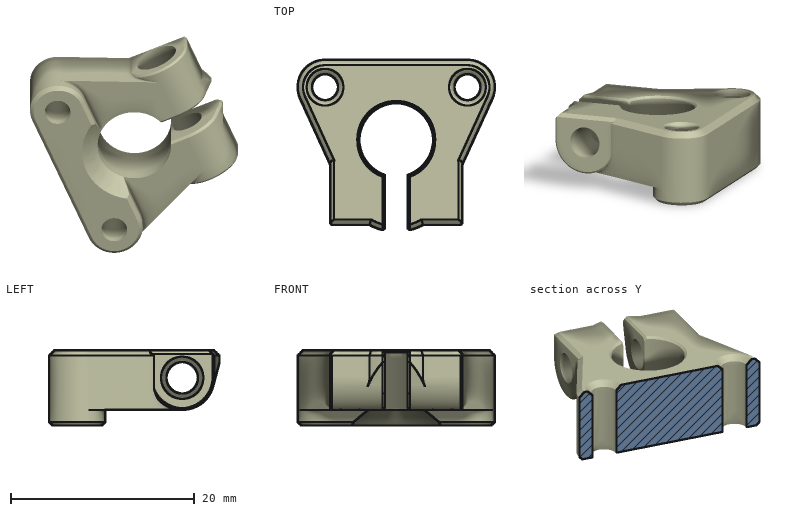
import cadquery as cq
import math

height = 8.2
step_height = 1.7
top_chamfer = 0.6
bottom_chamfer = 0.4

screw_x = 7.75
screw_y = 5.75
corner_radius = 3.0
front_y = -4.0
front_radius = 6.0

rail_front_y = 2.6
rail_fillet = 3.0

lug_half_width = 7.2
lug_radius = 3.5
lug_y = -5.75
lug_z = step_height + lug_radius
lug_end_chamfer = 0.2
lug_top_chamfer = 0.4
overhang_angle = 15

bore_radius = 4.0
slot_width = 2.5
edge_break = 0.25
screw_diameter = 2.8
countersink_diameter = 4.0
countersink_angle = 90
bolt_diameter = 3.4
insert_diameter = 4.6
insert_depth = 4.0

center_dy = screw_y - front_y
center_distance = math.hypot(screw_x, center_dy)
tangent_angle = (
    math.acos((front_radius - corner_radius) / center_distance)
    - math.atan2(center_dy, screw_x)
)
overhang = math.radians(overhang_angle)
reach = 2 * height


def on_circle(x, y, radius, angle):
    """Point on a circle at an angle from the +X direction."""
    return (x + radius * math.cos(angle), y + radius * math.sin(angle))


def mirrored(point):
    """Same point on the other side of the X = 0 plane."""
    return (-point[0], point[1])


def outline(z):
    """Closed plate outline on the plane at height z."""
    corner_end = on_circle(screw_x, screw_y, corner_radius, -tangent_angle)
    corner_middle = on_circle(screw_x, screw_y, corner_radius, math.pi / 4)
    front_start = on_circle(0, front_y, front_radius, -tangent_angle)
    back_y = screw_y + corner_radius
    return (
        cq.Workplane("XY", origin=(0, 0, z))
        .moveTo(-screw_x, back_y)
        .lineTo(screw_x, back_y)
        .threePointArc(corner_middle, corner_end)
        .lineTo(*front_start)
        .threePointArc((0, front_y - front_radius), mirrored(front_start))
        .lineTo(*mirrored(corner_end))
        .threePointArc(mirrored(corner_middle), (-screw_x, back_y))
        .close()
    )


def make_plate():
    """Upper plate, its front lip leaning back until it meets the lug cylinder."""
    plate = outline(step_height).extrude(height - step_height)
    plate = plate.faces(">Z").edges().chamfer(top_chamfer)
    tangent = on_circle(lug_y, lug_z, lug_radius, math.pi + overhang)
    arc_middle = on_circle(lug_y, lug_z, lug_radius, 5 * math.pi / 4)
    lip_top_y = tangent[0] - (height - tangent[1]) * math.tan(overhang)
    side_profile = (
        cq.Workplane("YZ")
        .moveTo(reach, height)
        .lineTo(lip_top_y, height)
        .lineTo(*tangent)
        .threePointArc(arc_middle, (lug_y, step_height))
        .lineTo(reach, step_height)
        .close()
        .extrude(reach, both=True)
    )
    return plate.intersect(side_profile)


def make_rail():
    """Rear rail carrying the screw holes below the plate."""
    rear = cq.Workplane("XY").box(2 * reach, reach, reach, centered=(True, False, True))
    rail = outline(0).extrude(step_height).intersect(rear.translate((0, rail_front_y, 0)))
    rail = rail.faces("<Y").edges("|Z").fillet(rail_fillet)
    return rail.faces("<Z").edges().chamfer(bottom_chamfer)


def make_lugs():
    """Block across both lugs, rounded underneath."""
    front = lug_y - lug_radius
    back = lug_y + lug_radius
    lugs = (
        cq.Workplane("YZ")
        .moveTo(front, height)
        .lineTo(front, lug_z)
        .threePointArc((lug_y, step_height), (back, lug_z))
        .lineTo(back, height)
        .close()
        .extrude(lug_half_width, both=True)
    )
    lugs = lugs.faces("<X or >X").edges("not >Z").chamfer(lug_end_chamfer)
    lugs = lugs.faces(">Z").edges("<Y").chamfer(top_chamfer)
    return lugs.faces(">Z").edges("<X or >X").chamfer(lug_top_chamfer)


def cut_bore(body):
    """Bore with a small chamfer on top and a 45 degree flare through the rail below."""
    bore = cq.Workplane("XY").circle(bore_radius).extrude(height)
    top_break = (
        cq.Workplane("XY", origin=(0, 0, height - edge_break))
        .circle(bore_radius)
        .workplane(offset=edge_break)
        .circle(bore_radius + edge_break)
        .loft()
    )
    flare = (
        cq.Workplane("XY")
        .circle(bore_radius + step_height)
        .workplane(offset=step_height)
        .circle(bore_radius)
        .loft()
    )
    return body.cut(bore).cut(top_break).cut(flare)


def cut_slot(body):
    """Clamp slot; every edge of its walls is broken except where they meet the bore."""
    slot = cq.Workplane("XY").box(slot_width, reach, height, centered=(True, False, False))
    body = body.cut(slot.translate((0, -reach, 0)))
    around_slot = cq.selectors.BoxSelector((-slot_width, -reach, 0), (slot_width, 0, height))
    slot_walls = body.faces("|X").faces(around_slot)
    return slot_walls.edges("not >Y").chamfer(edge_break)


def cut_clamp_holes(body):
    """Bolt hole across the slot, widened from the -X end for an insert."""
    start = cq.Workplane("YZ").center(lug_y, lug_z)
    bolt = start.circle(bolt_diameter / 2).extrude(reach, both=True)
    insert = start.workplane(offset=insert_depth - lug_half_width)
    insert = insert.circle(insert_diameter / 2).extrude(-reach)
    return body.cut(bolt).cut(insert)


def cut_screw_holes(body):
    """Countersunk mounting holes concentric with the rear corner rounds."""
    return (
        body.faces(">Z")
        .workplane(origin=(0, 0, height))
        .pushPoints([(-screw_x, screw_y), (screw_x, screw_y)])
        .cskHole(screw_diameter, countersink_diameter, countersink_angle)
    )


result = make_plate().union(make_rail()).union(make_lugs())
result = cut_bore(result)
result = cut_slot(result)
result = cut_clamp_holes(result)
result = cut_screw_holes(result)